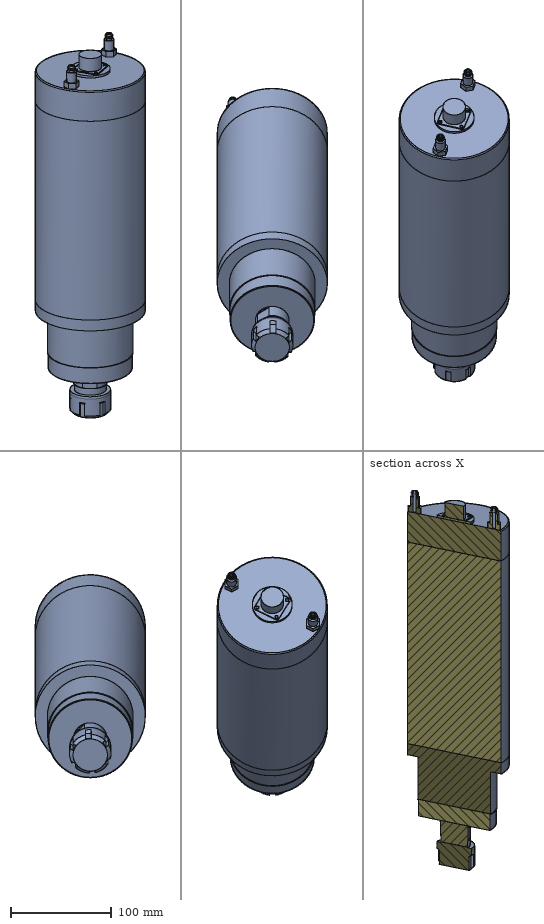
import cadquery as cq
import math


total_height = 389.5
nut_top = 24.0
wrench_collar_bottom = 31.0
wrench_flat_top = 45.5
nose_cap_bottom = 46.7
nose_cap_top = 64.3
flange_bottom = 109.0
flange_top = 120.7
barrel_top = 334.5
rear_cap_top = 367.0

body_radius = 55.0
nose_radius = 43.0
nose_cap_radius = 42.0
rear_rim_chamfer = 1.0
nose_rim_chamfer = 0.8

shaft_radius = 16.0
wrench_collar_radius = 16.7
wrench_flat_distance = 15.0
wrench_flat_turn = 21.5

nut_radius = 20.5
nut_bottom_chamfer = 3.5
nut_shoulder_height = 2.5
nut_shoulder_inset = 0.5
slot_count = 6
first_slot_angle = 90
slot_width = 6.0
slot_depth = 3.0
slot_top = 17.0
slot_end_slope = 2.5

base_radius = 20.0
base_thickness = 2.5
plate_side = 27.5
plate_thickness = 1.0
plate_corner_radius = 2.7
plate_hole_offset = 11.0
plate_hole_diameter = 3.0
plug_radius = 11.3
plug_top = 384.5

fitting_offset = 46.5
hex_across_flats = 13.0
hex_height = 6.0
collar_diameter = 9.7
collar_height = 10.5
stem_radius = 2.7
barb_radius = 4.0
barb_height = 2.0
bore_diameter = 3.0


def cylinder(radius, bottom, top):
    return cq.Workplane("XY").workplane(offset=bottom).circle(radius).extrude(top - bottom)


def make_rear_cap():
    return cylinder(body_radius, barrel_top, rear_cap_top).faces(">Z").chamfer(rear_rim_chamfer)


def make_front_housing():
    flange = cylinder(body_radius, flange_bottom, flange_top)
    nose = cylinder(nose_radius, nose_cap_top, flange_bottom)
    return flange.union(nose)


def make_nose_cap():
    cap = cylinder(nose_cap_radius, nose_cap_bottom, nose_cap_top)
    return cap.faces("<Z").chamfer(nose_rim_chamfer)


def make_shaft():
    collar = cylinder(wrench_collar_radius, wrench_collar_bottom, nose_cap_bottom)
    flat_height = wrench_flat_top - wrench_collar_bottom
    cutter_thickness = wrench_collar_radius
    for side in (-1, 1):
        cutter = (
            cq.Workplane("XY")
            .box(2 * wrench_collar_radius, cutter_thickness, flat_height, centered=(True, True, False))
            .translate((0, side * (wrench_flat_distance + cutter_thickness / 2), wrench_collar_bottom))
            .rotate((0, 0, 0), (0, 0, 1), wrench_flat_turn)
        )
        collar = collar.cut(cutter)
    return collar.union(cylinder(shaft_radius, nut_top, wrench_collar_bottom))


def make_collet_nut():
    nut = (
        cq.Workplane("XZ")
        .moveTo(0, 0)
        .lineTo(nut_radius - nut_bottom_chamfer, 0)
        .lineTo(nut_radius, nut_bottom_chamfer)
        .lineTo(nut_radius, nut_top - nut_shoulder_height)
        .lineTo(nut_radius - nut_shoulder_inset, nut_top)
        .lineTo(0, nut_top)
        .close()
        .revolve(360, (0, 0, 0), (0, 1, 0))
    )
    floor_radius = nut_radius - slot_depth
    outside_radius = nut_radius + slot_depth
    slot = (
        cq.Workplane("XZ")
        .moveTo(floor_radius, 0)
        .lineTo(outside_radius, 0)
        .lineTo(outside_radius, slot_top)
        .lineTo(nut_radius, slot_top)
        .lineTo(floor_radius, slot_top - slot_end_slope)
        .close()
        .extrude(slot_width / 2, both=True)
    )
    for index in range(slot_count):
        angle = first_slot_angle + index * 360 / slot_count
        nut = nut.cut(slot.rotate((0, 0, 0), (0, 0, 1), angle))
    return nut


def make_connector():
    plate_bottom = rear_cap_top + base_thickness
    plate = (
        cq.Workplane("XY")
        .workplane(offset=plate_bottom)
        .rect(plate_side, plate_side)
        .extrude(plate_thickness)
        .edges("|Z")
        .fillet(plate_corner_radius)
        .faces(">Z")
        .workplane()
        .rect(2 * plate_hole_offset, 2 * plate_hole_offset, forConstruction=True)
        .vertices()
        .hole(plate_hole_diameter)
    )
    return plate.union(cylinder(plug_radius, plate_bottom, plug_top))


def make_hose_fitting(y):
    hex_top = rear_cap_top + hex_height
    collar_top = hex_top + collar_height
    hex_across_corners = hex_across_flats / math.cos(math.radians(30))
    hexagon = (
        cq.Workplane("XY")
        .workplane(offset=rear_cap_top)
        .polygon(6, hex_across_corners)
        .extrude(hex_height)
        .rotate((0, 0, 0), (0, 0, 1), 90)
    )
    fitting = hexagon.union(cylinder(collar_diameter / 2, hex_top, collar_top))
    fitting = fitting.union(cylinder(stem_radius, collar_top, total_height))
    for barb_top in (total_height, total_height - barb_height):
        barb = cq.Solid.makeCone(
            barb_radius, stem_radius, barb_height, pnt=cq.Vector(0, 0, barb_top - barb_height)
        )
        fitting = fitting.union(cq.Workplane(barb))
    fitting = fitting.faces(">Z").workplane(origin=(0, 0, total_height)).hole(bore_diameter)
    return fitting.translate((0, y, 0))


barrel = cylinder(body_radius, flange_top, barrel_top)
rear_cap = make_rear_cap()
front_housing = make_front_housing()
nose_cap = make_nose_cap()
shaft = make_shaft()
collet_nut = make_collet_nut()
connector_base = cylinder(base_radius, rear_cap_top, rear_cap_top + base_thickness)
connector = make_connector()
hose_fittings = [make_hose_fitting(side * fitting_offset) for side in (-1, 1)]

result = cq.Compound.makeCompound(
    [
        barrel.val(),
        rear_cap.val(),
        front_housing.val(),
        nose_cap.val(),
        shaft.val(),
        collet_nut.val(),
        connector_base.val(),
        connector.val(),
        *[fitting.val() for fitting in hose_fittings],
    ]
)